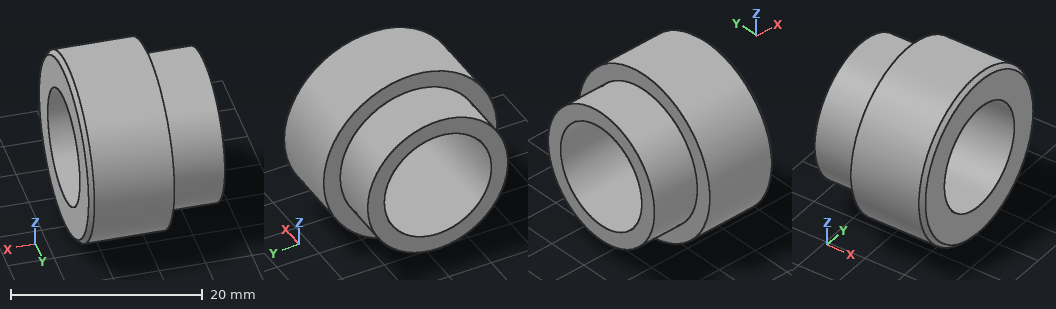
import cadquery as cq

total_length = 15.12
spigot_length = 5.99
body_diameter = 20.57
spigot_diameter = 16.65
bore_diameter = 12.7
chamfer_size = 0.5

body_length = total_length - spigot_length


def cylinder_along_x(start, length, diameter):
    """Solid cylinder on the X axis, beginning at X = start."""
    return cq.Workplane("YZ").workplane(offset=start).circle(diameter / 2).extrude(length)


left_end = -total_length / 2
shoulder = left_end + spigot_length

body = cylinder_along_x(shoulder, body_length, body_diameter)
body = body.faces(">X").edges().chamfer(chamfer_size)

spigot = cylinder_along_x(left_end, spigot_length, spigot_diameter)
bore = cylinder_along_x(left_end, total_length, bore_diameter)

result = body.union(spigot).cut(bore)